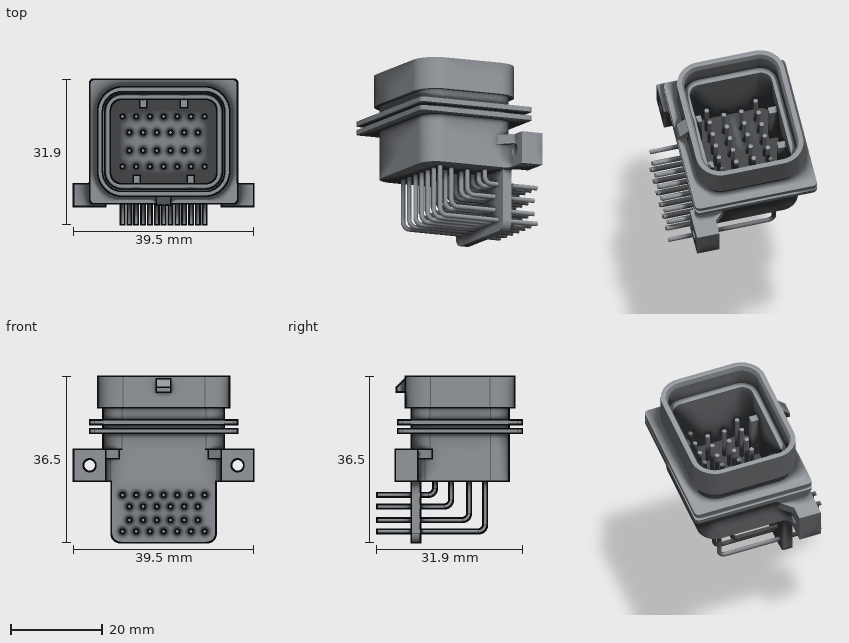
import cadquery as cq
import math

rim_top = 23.05
collar_bottom = 16.1
ledge_height = 17.97
floor_thickness = 2.0
plate_bottom = -13.43

body_x, body_y, body_radius = 26.62, 21.5, 4.1
cavity_x, cavity_y, cavity_radius = 23.3, 18.5, 2.4
collar_x, collar_y, collar_radius = 28.95, 24.0, 5.5
rim_land = 1.05
rim_bevel_width, rim_bevel_depth = 0.47, 1.0
body_front = -body_y / 2

flange_x, flange_y, flange_radius = 32.45, 27.35, 1.0
flange_thickness = 1.03
flange_bottoms = (10.55, 12.45)

overall_x = 39.5
ear_size = 7.07
ear_front, ear_back = -14.25, -9.25
ear_inner = overall_x / 2 - ear_size
ear_hole_diameter = 2.7
web_height = 2.05
front_gusset, back_gusset = 2.92, 3.12
front_fillet, back_fillet = 1.03, 1.45

plate_width, plate_thickness, plate_radius = 23.0, 2.1, 2.05

latch_width, latch_reach = 3.15, 1.95
latch_top, latch_nose_top, latch_bottom = 22.5, 20.6, 19.6

post_x, post_y, post_top = 1.55, 1.85, 13.3
back_post_offset, front_post_offset = 4.45, 5.92

pin_diameter, pin_pitch, pin_bend = 1.0, 3.0, 1.5
pin_tip = -18.25
outer_pin_top, inner_pin_top = 10.6, 9.9
pin_rows = (
    (7, 5.5, outer_pin_top, -10.95),
    (6, 1.98, inner_pin_top, -8.45),
    (6, -1.98, inner_pin_top, -5.5),
    (7, -5.5, outer_pin_top, -2.95),
)


def rounded_block(size_x, size_y, radius, bottom, top):
    block = cq.Workplane("XY").workplane(offset=bottom).rect(size_x, size_y).extrude(top - bottom)
    return block.edges("|Z").fillet(radius)


def inset_block(size_x, size_y, radius, inset, bottom, top):
    return rounded_block(size_x - 2 * inset, size_y - 2 * inset, radius - inset, bottom, top)


def make_shell():
    shell = rounded_block(body_x, body_y, body_radius, 0, ledge_height)
    shell = shell.union(rounded_block(collar_x, collar_y, collar_radius, collar_bottom, rim_top))
    for bottom in flange_bottoms:
        flange = rounded_block(flange_x, flange_y, flange_radius, bottom, bottom + flange_thickness)
        shell = shell.union(flange)
    front_depth = body_y / 2
    front = cq.Workplane("XY").box(body_x, front_depth, ear_size, centered=(True, False, False))
    return shell.union(front.translate((0, body_front, 0)))


def cut_cavity(shell):
    cavity = rounded_block(cavity_x, cavity_y, cavity_radius, floor_thickness, rim_top)
    mouth = inset_block(collar_x, collar_y, collar_radius, rim_land, ledge_height, rim_top)
    throat_inset = rim_land + rim_bevel_width
    throat = inset_block(collar_x, collar_y, collar_radius, throat_inset, ledge_height, rim_top)
    bevel = mouth.faces(">Z").wires().toPending().workplane()
    bevel_taper = math.degrees(math.atan(rim_bevel_width / rim_bevel_depth))
    bevel = bevel.extrude(-rim_bevel_depth, combine=False, taper=bevel_taper)
    return shell.cut(cavity).cut(throat).cut(bevel)


def corner_web(x, y, step_x, step_y, height):
    """45 degree gusset in the inner corner at (x, y)."""
    points = [(x, y), (x + step_x, y), (x, y + step_y)]
    return cq.Workplane("XY").workplane(offset=ear_size - height).polyline(points).close().extrude(height)


def corner_fillet(x, y, step_x, step_y):
    """Concave quarter-round fill in the inner corner at (x, y), full ear height."""
    bulge = 1 - math.sqrt(0.5)
    middle = (x + bulge * step_x, y + bulge * step_y)
    outline = cq.Workplane("XY").moveTo(x, y).lineTo(x + step_x, y)
    return outline.threePointArc(middle, (x, y + step_y)).close().extrude(ear_size)


def make_right_ear():
    ear = cq.Workplane("XY").box(ear_size, ear_back - ear_front, ear_size, centered=False)
    ear = ear.translate((ear_inner, ear_front, 0))
    body_side = body_x / 2
    ear = ear.union(corner_web(ear_inner, body_front, -front_gusset, -front_gusset, web_height))
    ear = ear.union(corner_web(body_side, ear_back, back_gusset, back_gusset, web_height))
    ear = ear.union(corner_fillet(ear_inner, body_front, -front_fillet, -front_fillet))
    ear = ear.union(corner_fillet(body_side, ear_back, back_fillet, back_fillet))
    hole = cq.Workplane("XZ", origin=(ear_inner + ear_size / 2, ear_back, ear_size / 2))
    return ear.cut(hole.circle(ear_hole_diameter / 2).extrude(ear_back - ear_front))


def make_plate():
    plate_size = (plate_width, plate_thickness, -plate_bottom)
    plate = cq.Workplane("XY").box(*plate_size, centered=(True, False, False))
    plate = plate.translate((0, body_front, plate_bottom))
    return plate.edges("|Y and <Z").fillet(plate_radius)


def make_latch():
    root = -collar_y / 2
    nose = root - latch_reach
    profile = [(root, latch_top), (nose, latch_nose_top), (nose, latch_bottom), (root, latch_bottom)]
    return cq.Workplane("YZ").polyline(profile).close().extrude(latch_width / 2, both=True)


def make_posts():
    centre_y = (cavity_y - post_y) / 2
    posts = cq.Workplane("XY")
    for side_y, offset in ((1, back_post_offset), (-1, front_post_offset)):
        centres = [(-offset, side_y * centre_y), (offset, side_y * centre_y)]
        posts = posts.union(cq.Workplane("XY").pushPoints(centres).rect(post_x, post_y).extrude(post_top))
    return posts


def make_pin(x, upright_y, top_z, level_z):
    path = (
        cq.Workplane("YZ", origin=(x, 0, 0))
        .moveTo(upright_y, top_z)
        .lineTo(upright_y, level_z + pin_bend)
        .radiusArc((upright_y - pin_bend, level_z), pin_bend)
        .lineTo(pin_tip, level_z)
    )
    start = cq.Workplane("XY", origin=(x, upright_y, top_z))
    return start.circle(pin_diameter / 2).sweep(path)


right_ear = make_right_ear()
result = cut_cavity(make_shell())
result = result.union(right_ear).union(right_ear.mirror("YZ"))
result = result.union(make_plate()).union(make_latch()).union(make_posts())
for count, upright_y, top_z, level_z in pin_rows:
    for index in range(count):
        pin_x = (index - (count - 1) / 2) * pin_pitch
        result = result.union(make_pin(pin_x, upright_y, top_z, level_z))